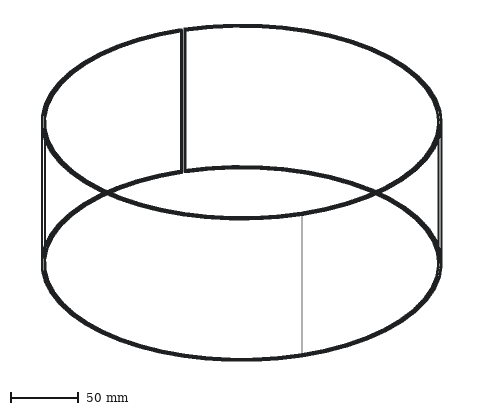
import cadquery as cq

outer_diameter = 295.0
wall_thickness = 2.5
height = 120.0
bevel_height = 0.5
outer_bevel_width = bevel_height
inner_bevel_width = 0.25
slit_width = 2.7

outer_radius = outer_diameter / 2
inner_radius = outer_radius - wall_thickness
upper_bevel_start = height - bevel_height

wall_section = [
    (inner_radius + inner_bevel_width, 0),
    (outer_radius - outer_bevel_width, 0),
    (outer_radius, bevel_height),
    (outer_radius, upper_bevel_start),
    (outer_radius - outer_bevel_width, height),
    (inner_radius + inner_bevel_width, height),
    (inner_radius, upper_bevel_start),
    (inner_radius, bevel_height),
]
band = cq.Workplane("XZ").polyline(wall_section).close().revolve(360, (0, 0, 0), (0, 1, 0))

slit = cq.Workplane("XY").box(outer_radius, slit_width, height, centered=False)
slit = slit.translate((-outer_radius, 0, 0))

result = band.cut(slit)